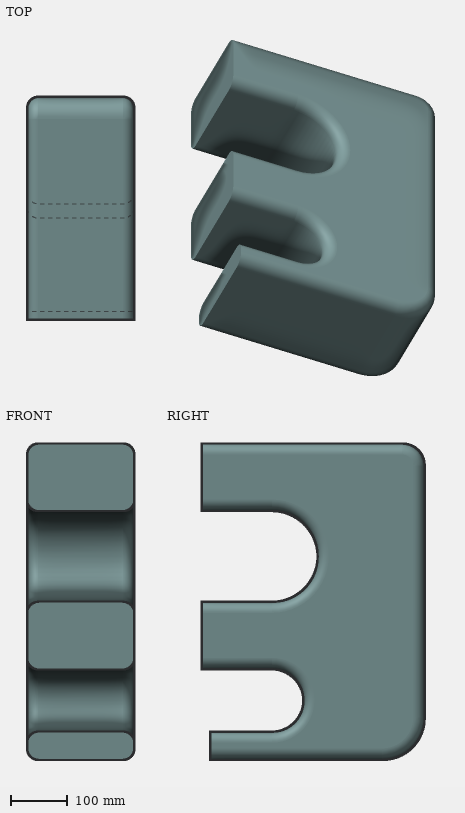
import cadquery as cq

width = 190.0
depth = 395.0
height = 560.0

prong_thickness = 120.0
upper_slot_radius = 80.0
lower_slot_radius = 55.0
slot_center_y = 125.0
bottom_prong_setback = 15.0

top_corner_radius = 40.0
bottom_corner_radius = 75.0
edge_radius = 20.0

upper_slot_z = height - prong_thickness - upper_slot_radius
lower_slot_z = upper_slot_z - upper_slot_radius - prong_thickness - lower_slot_radius


def block(y_length, z_bottom, z_height):
    """Full-width block starting at the prong tips, centred on X = 0."""
    return cq.Workplane("XY").box(
        width, y_length, z_height, centered=(True, False, False)
    ).translate((0, 0, z_bottom))


def slot(center_z, radius):
    """Cutter open at the prong tips with a semicircular inner end."""
    channel = block(slot_center_y, center_z - radius, 2 * radius)
    round_end = (
        cq.Workplane("YZ")
        .center(slot_center_y, center_z)
        .circle(radius)
        .extrude(width / 2, both=True)
    )
    return channel.union(round_end)


body = block(depth, 0, height)
body = body.edges("|X and >Y and >Z").fillet(top_corner_radius)
body = body.edges("|X and >Y and <Z").fillet(bottom_corner_radius)

body = body.cut(slot(upper_slot_z, upper_slot_radius))
body = body.cut(slot(lower_slot_z, lower_slot_radius))
body = body.cut(block(bottom_prong_setback, 0, lower_slot_z))

side_edges = [
    edge
    for edge in body.faces("<X or >X").edges().vals()
    if edge.Center().y > bottom_prong_setback + edge_radius
]
result = body.newObject(side_edges).fillet(edge_radius)